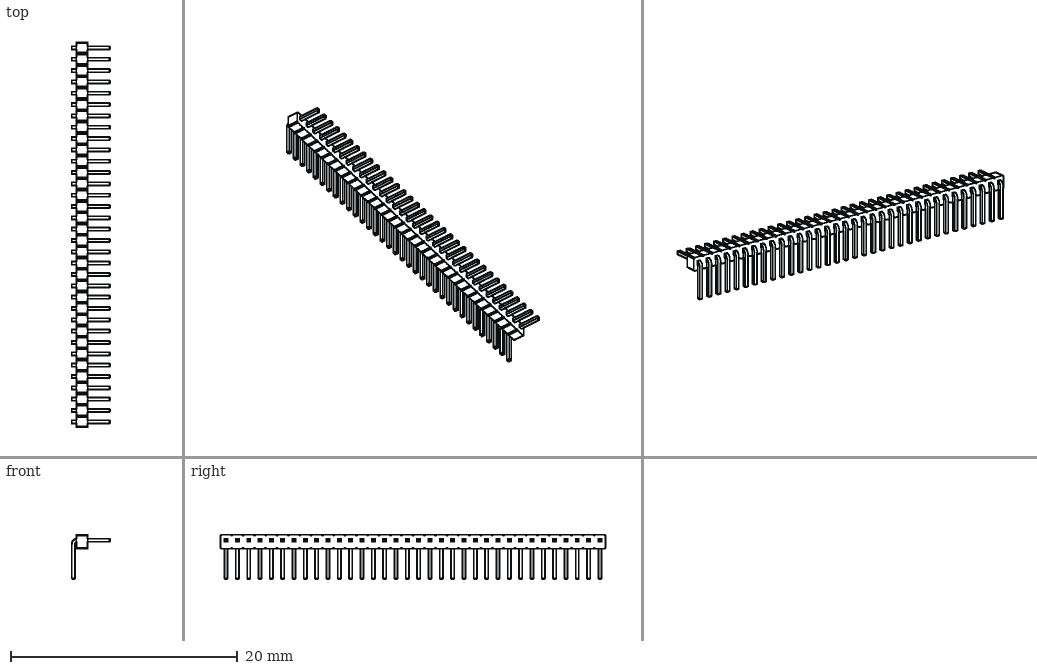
import cadquery as cq

pin_count = 34
pitch = 1.0

body_width = 1.0
body_height = 1.27
body_left = 0.25
body_top = 0.505
notch_depth = 0.1

pin_size = 0.3
inner_bend_radius = 0.18
tip_chamfer = 0.08

overall_width = 3.4
overall_height = 3.94

row_length = pin_count * pitch
body_bottom = body_top - body_height
half_pin = pin_size / 2
outer_bend_radius = inner_bend_radius + pin_size
arm_end = overall_width - half_pin
leg_end = body_top - overall_height


def make_body():
    """Extrude the strip with 45-degree V-notches between positions, halved at both ends."""
    body = (
        cq.Workplane("XY", origin=(body_left, 0, body_bottom))
        .box(body_width, row_length, body_height, centered=(False, True, False))
    )
    notches = cq.Workplane("YZ", origin=(body_left, 0, 0))
    for joint in range(pin_count + 1):
        joint_y = joint * pitch - row_length / 2
        for mouth_z, root_z in (
            (body_top, body_top - notch_depth),
            (body_bottom, body_bottom + notch_depth),
        ):
            notches = (
                notches.moveTo(joint_y - notch_depth, mouth_z)
                .lineTo(joint_y + notch_depth, mouth_z)
                .lineTo(joint_y, root_z)
                .close()
            )
    return body.cut(notches.extrude(body_width))


def make_pin(center_y):
    """Make a square wire bent through a right angle, with both tips chamfered."""
    pin = (
        cq.Workplane("XZ", origin=(0, center_y + half_pin, 0))
        .moveTo(-half_pin, leg_end)
        .lineTo(-half_pin, half_pin - outer_bend_radius)
        .radiusArc((outer_bend_radius - half_pin, half_pin), outer_bend_radius)
        .lineTo(arm_end, half_pin)
        .lineTo(arm_end, -half_pin)
        .lineTo(half_pin + inner_bend_radius, -half_pin)
        .radiusArc((half_pin, -half_pin - inner_bend_radius), -inner_bend_radius)
        .lineTo(half_pin, leg_end)
        .close()
        .extrude(pin_size)
    )
    return pin.faces(">X or <Z").chamfer(tip_chamfer)


result = make_body()
for position in range(pin_count):
    pin_y = (position + 0.5) * pitch - row_length / 2
    result = result.union(make_pin(pin_y))